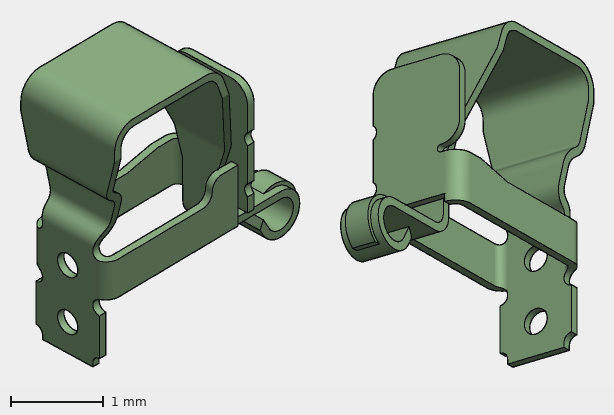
import cadquery as cq
import math


thickness = 0.1
bend_radius = 0.1
bend_outer = bend_radius + thickness

loop_top = 3.264
leg_bottom = 0.61
leg_top = leg_bottom + thickness
rear_strip_back = 2.15

joggle_start = 1.54
joggle_angle = 55
joggle_depth = 0.2
joggle_valley_radius = 0.15
recess_height = 0.2
loop_radius = 0.2
loop_flat_end = 1.416
lean_angle = 20
lean_radius = 0.2
leg_radius = 0.15
curl_radius = 0.2
curl_center_y = 3.05
curl_angle = 240
curl_tip_length = 0.19
curl_tip_outer_length = 0.115
curl_center_z = leg_bottom - curl_radius

loop_half = 0.7
plate_half = 0.475
arm_half = 0.575
neck_half = arm_half - bend_outer
rear_half = 0.25
taper_top = 2.837
rear_taper_end = 1.41

foot_height = 0.056
relief_radius = 0.1
hole_radius = 0.15
hole_heights = (0.407, 1.153)

arm_bottom = 0.915
arm_top = 1.415
arm_rise = 0.1
arm_rise_start = 1.42
arm_rise_end = 1.9
wrap_back = 2.3
free_arm_end = 2.05
hook_radius = 0.15
hook_height = 2 * hook_radius
hook_start = 1.5

tab_top = 2.665
tab_corner = 0.25
tab_relief_radius = 0.045
tab_bottom = 1.01
notch_radius = 0.1
notch_depth = 0.045
notch_heights = (1.305, 1.975)

rear_end = 3.4
bead_half = 0.15
bead_radius = 0.34
bead_center_y = rear_end - bead_radius
bead_center_z = 0.415
bead_bottom = 0.145

lower_relief_z = arm_bottom - relief_radius
upper_relief_z = arm_top + relief_radius
plate_top = lower_relief_z
wrap_top = arm_top + arm_rise
tab_wide_bottom = wrap_top + 2 * tab_relief_radius

reach = 10


def bent_sheet(plane, start, heading, steps, depth):
    """Extrude a sheet that follows a path, symmetric about the plane.

    A step is a length for a straight stretch, or (degrees, inner radius) for a bend, left positive.
    start lies in the middle of the sheet and heading is in degrees.
    """
    def moved(point, angle, distance):
        """The point shifted by a distance in the direction of an angle."""
        direction = math.radians(angle)
        return (point[0] + distance * math.cos(direction), point[1] + distance * math.sin(direction))

    def across(point, angle, offset):
        """The point at a signed distance to the left of the path."""
        return moved(point, angle + 90, offset)

    half = thickness / 2
    point = start
    stations = [(point, heading, None, None)]
    for step in steps:
        if isinstance(step, tuple):
            turn, inner = step
            to_center = math.copysign(inner + half, turn)
            center = across(point, heading, to_center)
            middle_heading = heading + turn / 2
            middle = across(center, middle_heading, -to_center)
            heading += turn
            point = across(center, heading, -to_center)
            stations.append((point, heading, middle, middle_heading))
        else:
            point = moved(point, heading, step)
            stations.append((point, heading, None, None))

    first = stations[0]
    sheet = cq.Workplane(plane).moveTo(*across(first[0], first[1], half))
    for end, angle, middle, middle_angle in stations[1:]:
        if middle is None:
            sheet = sheet.lineTo(*across(end, angle, half))
        else:
            sheet = sheet.threePointArc(across(middle, middle_angle, half), across(end, angle, half))
    last = stations[-1]
    sheet = sheet.lineTo(*across(last[0], last[1], -half))
    for here, before in zip(reversed(stations), reversed(stations[:-1])):
        target = across(before[0], before[1], -half)
        if here[2] is None:
            sheet = sheet.lineTo(*target)
        else:
            sheet = sheet.threePointArc(across(here[2], here[3], -half), target)
    return sheet.close().extrude(depth / 2, both=True)


def box(x_range, y_range, z_range):
    size = [high - low for low, high in (x_range, y_range, z_range)]
    corner = (x_range[0], y_range[0], z_range[0])
    return cq.Workplane("XY").box(*size, centered=False).translate(corner)


def y_cylinder(x, z, radius):
    return cq.Workplane("XZ").center(x, z).circle(radius).extrude(reach, both=True)


def xz_prism(points):
    return cq.Workplane("XZ").polyline(points).close().extrude(reach, both=True)


def mirrored(points):
    """Close a right-hand outline with its mirror image about X = 0."""
    return points + [(-x, z) for x, z in reversed(points)]


def strip():
    """The long strip: front plate, loop, rear strip, leg and curl, at full width."""
    angle = math.radians(joggle_angle)
    lean = math.radians(lean_angle)
    crest = bend_radius + thickness / 2
    valley = joggle_valley_radius + thickness / 2
    joggle_slope = (joggle_depth - (crest + valley) * (1 - math.cos(angle))) / math.sin(angle)
    joggle_height = (crest + valley) * math.sin(angle) + joggle_slope * math.cos(angle)
    joggles_end = joggle_start + 2 * joggle_height + recess_height

    loop_mid = loop_radius + thickness / 2
    loop_outer = loop_radius + thickness
    loop_bend_z = loop_top - loop_outer
    lean_mid = lean_radius + thickness / 2
    rear_y = rear_strip_back - thickness / 2
    lean_start_y = loop_flat_end + loop_mid * math.cos(lean)
    lean_run = rear_y - lean_mid * (1 - math.cos(lean)) - lean_start_y
    lean_length = lean_run / math.sin(lean)
    lean_end_z = loop_bend_z + loop_mid * math.sin(lean) - lean_length * math.cos(lean)
    rear_top_z = lean_end_z - lean_mid * math.sin(lean)
    rear_bottom_z = leg_top + leg_radius
    leg_start_y = rear_strip_back + leg_radius

    steps = [
        joggle_start,
        (-joggle_angle, bend_radius),
        joggle_slope,
        (joggle_angle, joggle_valley_radius),
        recess_height,
        (joggle_angle, joggle_valley_radius),
        joggle_slope,
        (-joggle_angle, bend_radius),
        loop_bend_z - joggles_end,
        (-90, loop_radius),
        loop_flat_end - loop_outer,
        (lean_angle - 90, loop_radius),
        lean_length,
        (-lean_angle, lean_radius),
        rear_top_z - rear_bottom_z,
        (90, leg_radius),
        curl_center_y - leg_start_y,
        (-curl_angle, curl_radius),
        curl_tip_length,
    ]
    return bent_sheet("YZ", (thickness / 2, 0), 90, steps, 2 * loop_half)


def curl_tip_cutter():
    """The wedge that bevels the outer edge of the curl's tip."""
    def tip_point(radius, length):
        angle = math.radians(90 - curl_angle)
        y = curl_center_y + radius * math.cos(angle) + length * math.sin(angle)
        z = curl_center_z + radius * math.sin(angle) - length * math.cos(angle)
        return (y, z)

    outer = curl_radius + thickness
    wedge = [
        tip_point(curl_radius, curl_tip_length),
        tip_point(outer, curl_tip_outer_length),
        tip_point(outer, curl_tip_length),
    ]
    return cq.Workplane("YZ").polyline(wedge).close().extrude(loop_half, both=True)


def front_outline():
    """Front silhouette of the plate and of the taper above it."""
    outline = xz_prism(mirrored([
        (neck_half, 0),
        (neck_half, foot_height),
        (plate_half, foot_height),
        (plate_half, plate_top),
        (neck_half, plate_top),
        (neck_half, joggle_start),
        (loop_half, taper_top),
        (loop_half, loop_top),
    ]))
    for side in (-1, 1):
        for z in (foot_height, lower_relief_z):
            outline = outline.cut(y_cylinder(side * plate_half, z, relief_radius))
    for z in hole_heights:
        outline = outline.cut(y_cylinder(0, z, hole_radius))
    return outline


def rear_outline():
    """Rear silhouette of the taper and of the narrow strip below it."""
    return xz_prism(mirrored([
        (rear_half, 0),
        (rear_half, rear_taper_end),
        (loop_half, taper_top),
        (loop_half, loop_top),
    ]))


def trimmed_strip():
    full = strip().cut(curl_tip_cutter())
    middle_y = loop_flat_end / 2
    whole = (-reach, reach)
    front = full.intersect(box(whole, (-reach, middle_y), whole)).intersect(front_outline())
    rear = full.intersect(box(whole, (middle_y, reach), whole)).intersect(rear_outline())
    return front.union(rear)


def bead():
    """Raised band along the middle of the curl, sitting on the outside of the sheet."""
    band = (
        cq.Workplane("YZ").center(bead_center_y, bead_center_z).circle(bead_radius)
        .extrude(bead_half, both=True)
    )
    core = (
        cq.Workplane("YZ").center(curl_center_y, curl_center_z).circle(curl_radius + thickness / 2)
        .extrude(bead_half, both=True)
    )
    width = (-bead_half, bead_half)
    sheet_middle = leg_bottom + thickness / 2
    inside = box(width, (0, curl_center_y), (0, sheet_middle))
    underside = box(width, (0, reach), (0, bead_bottom))
    return band.cut(core).cut(inside).cut(underside)


def arm_sheet(side, end_steps):
    """An arm sheet bent back from the front plate's edge on side -1 or 1, before it is trimmed."""
    heading = 90 - side * 90
    steps = [(side * 90, bend_radius)] + end_steps
    start = (side * neck_half, thickness / 2)
    return bent_sheet("XY", start, heading, steps, 2 * reach)


def yz_prism(profile):
    return profile.close().extrude(reach, both=True)


def front_reliefs(side):
    """Where the arm's bend meets the plate: rounded corners above and below the arm."""
    x_range = sorted((side * neck_half, side * plate_half))
    web = box(x_range, (0, bend_outer), (lower_relief_z, upper_relief_z))
    for z in (lower_relief_z, upper_relief_z):
        web = web.cut(y_cylinder(side * plate_half, z, relief_radius))
    return web


def wrapped_arm():
    """The -X arm, which wraps round at the rear to carry the tab."""
    sheet = arm_sheet(-1, [wrap_back - 2 * bend_outer, (-90, bend_radius)])
    profile = yz_prism(cq.Workplane("YZ").polyline([
        (0, arm_bottom),
        (wrap_back, arm_bottom),
        (wrap_back, wrap_top),
        (arm_rise_end, wrap_top),
        (arm_rise_start, arm_top),
        (0, arm_top),
    ]))
    return sheet.intersect(profile.union(front_reliefs(-1)))


def free_arm():
    """The +X arm, which ends in a raised hook."""
    sheet = arm_sheet(1, [free_arm_end - bend_outer])
    hook_top = arm_top + hook_height
    quarter = hook_radius * math.sqrt(0.5)
    middle_y = hook_start + hook_radius
    middle_z = arm_top + hook_radius
    crown_y = middle_y + hook_radius
    profile = yz_prism(
        cq.Workplane("YZ")
        .moveTo(0, arm_bottom)
        .lineTo(0, arm_top)
        .lineTo(hook_start, arm_top)
        .threePointArc((hook_start + quarter, middle_z - quarter), (middle_y, middle_z))
        .threePointArc((crown_y - quarter, middle_z + quarter), (crown_y, hook_top))
        .lineTo(free_arm_end, hook_top)
        .lineTo(free_arm_end, arm_bottom)
    )
    return sheet.intersect(profile.union(front_reliefs(1)))


def rear_tab():
    """Upright tab behind the loop, with rounded corners and two notches in its +X edge."""
    y_range = (wrap_back - thickness, wrap_back)
    wide = box((-arm_half, arm_half), y_range, (tab_wide_bottom, tab_top))
    wide = wide.edges("|Y").edges(">Z or <X").fillet(tab_corner)
    stem = box((-neck_half, arm_half), y_range, (tab_bottom, tab_wide_bottom))
    slot_end_x = tab_corner - arm_half
    slot = box((-arm_half, slot_end_x), y_range, (wrap_top, tab_wide_bottom))
    slot = slot.union(y_cylinder(slot_end_x, wrap_top + tab_relief_radius, tab_relief_radius))
    tab = wide.union(stem).cut(slot)
    for z in notch_heights:
        tab = tab.cut(y_cylinder(arm_half + notch_radius - notch_depth, z, notch_radius))
    return tab


result = trimmed_strip().union(bead()).union(wrapped_arm()).union(free_arm()).union(rear_tab())